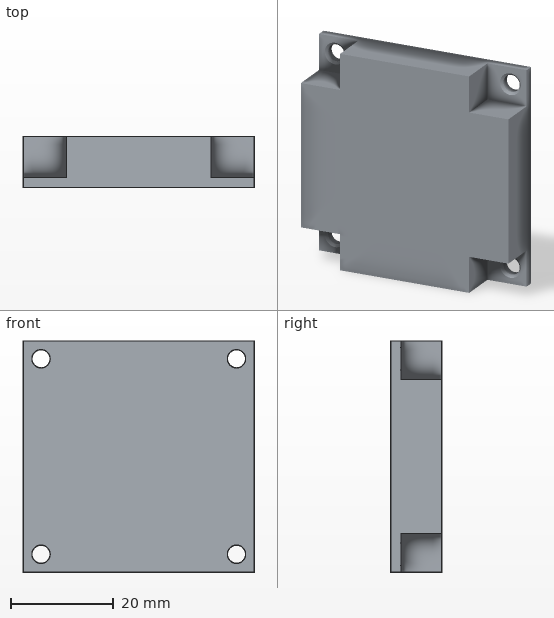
import cadquery as cq

side = 45.0
depth = 10.0

plate_thickness = 2.0

relief_width = 8.5
relief_height = 7.5

hole_diameter = 3.5
hole_edge_distance = 3.5
hole_chamfer = 0.5

front_y = -depth / 2
back_y = depth / 2
plate_back_y = front_y + plate_thickness
relief_depth = depth - plate_thickness
hole_offset = side / 2 - hole_edge_distance


def at_corners(shape, offset_x, offset_z):
    """Return copies of a shape moved to the four corners of a rectangle in XZ."""
    return [
        shape.translate((x_sign * offset_x, 0, z_sign * offset_z))
        for x_sign in (-1, 1)
        for z_sign in (-1, 1)
    ]


def make_block():
    return cq.Workplane("XY").box(side, depth, side)


def make_relief():
    """Box that clears one corner from the back of the body down to the plate."""
    center_y = back_y - relief_depth / 2
    relief = cq.Workplane("XY").box(relief_width, relief_depth, relief_height)
    return relief.translate((0, center_y, 0))


def make_hole():
    """Round hole through the plate, with a 45 degree chamfer at its back end."""
    radius = hole_diameter / 2
    chamfer_start_y = plate_back_y - hole_chamfer
    half_profile = (
        cq.Workplane("XY")
        .moveTo(0, front_y)
        .lineTo(radius, front_y)
        .lineTo(radius, chamfer_start_y)
        .lineTo(radius + hole_chamfer, plate_back_y)
        .lineTo(0, plate_back_y)
        .close()
    )
    return half_profile.revolve(360, (0, 0, 0), (0, 1, 0))


result = make_block()

relief_offset_x = (side - relief_width) / 2
relief_offset_z = (side - relief_height) / 2
for relief in at_corners(make_relief(), relief_offset_x, relief_offset_z):
    result = result.cut(relief)

for hole in at_corners(make_hole(), hole_offset, hole_offset):
    result = result.cut(hole)